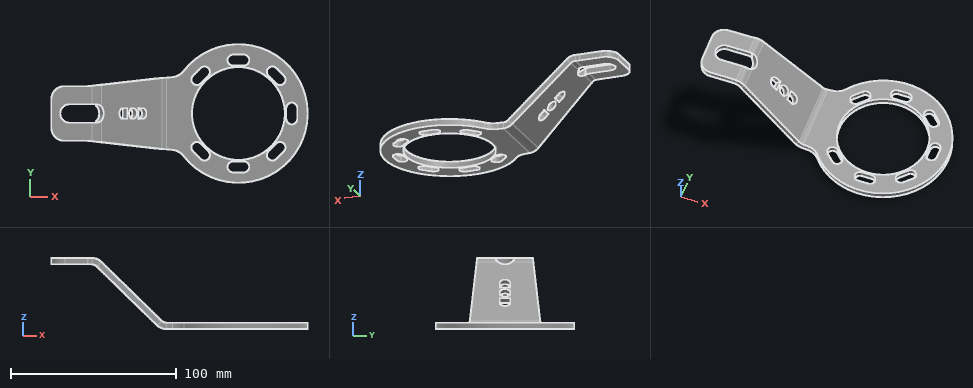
import cadquery as cq
import math

total_length = 155.1
total_height = 43.1
thickness = 4.0
ring_radius = 84.0 / 2
bore_diameter = 56.0

bend_angle = 44.3
inner_bend_radius = 4.0
mid_radius = inner_bend_radius + thickness / 2
lower_bend_x = -43.6

tab_half_width = 16.6
neck_half_width = 21.7
tab_corner_radius = 8.0
taper_lead = 2.6
taper_blend_radius = 5.0
neck_fillet_radius = 10.0

ring_slot_radius = 32.3
ring_slot_length = 13.0
ring_slot_width = 6.5
small_hole_diameter = 6.5
small_hole_pitch = 8.0
small_hole_offset = 1.4
tab_slot_width = 11.0
tab_slot_margin = 5.6
tab_slot_overrun = 2.2
tab_slot_straight_overrun = 2.3
cutter_height = 4 * thickness

sin_bend = math.sin(math.radians(bend_angle))
cos_bend = math.cos(math.radians(bend_angle))
tab_end_x = ring_radius - total_length
lower_mid_z = thickness / 2
upper_mid_z = total_height - thickness / 2
bend_run = mid_radius * sin_bend
bend_rise = mid_radius * (1 - cos_bend)
plate_rise = upper_mid_z - lower_mid_z - 2 * bend_rise
plate_length = plate_rise / sin_bend
plate_run = plate_length * cos_bend
plate_low_x = lower_bend_x - bend_run
plate_high_x = plate_low_x - plate_run
upper_bend_x = plate_high_x - bend_run

bend_arc_length = mid_radius * math.radians(bend_angle)
taper = (neck_half_width - tab_half_width) / (taper_lead + plate_length + 2 * bend_arc_length)
upper_bend_half_width = tab_half_width + taper * taper_lead
plate_high_half_width = upper_bend_half_width + taper * bend_arc_length
plate_low_half_width = neck_half_width - taper * bend_arc_length

plate_plane = cq.Plane(
    origin=((plate_low_x + plate_high_x) / 2, 0, (lower_mid_z + upper_mid_z) / 2),
    xDir=(cos_bend, 0, -sin_bend),
    normal=(sin_bend, 0, cos_bend),
)


def make_ring():
    """Lower ring with the tapered neck blended into its rim."""
    neck_end_half_width = neck_half_width - taper * lower_bend_x
    disc = cq.Workplane("XY").circle(ring_radius).extrude(thickness)
    neck = (
        cq.Workplane("XY")
        .polyline([
            (lower_bend_x, -neck_half_width),
            (0, -neck_end_half_width),
            (0, neck_end_half_width),
            (lower_bend_x, neck_half_width),
        ])
        .close()
        .extrude(thickness)
    )
    junctions = cq.selectors.BoxSelector(
        (lower_bend_x + thickness, -ring_radius, 0), (-bore_diameter / 2, ring_radius, thickness)
    )
    ring = disc.union(neck).edges("|Z").edges(junctions).fillet(neck_fillet_radius)
    bore = cq.Workplane("XY").circle(bore_diameter / 2).extrude(thickness)
    return ring.cut(bore)


def make_tab():
    """Raised tab with rounded free corners and a soft start to the taper."""
    taper_start_x = upper_bend_x - taper_lead
    blend_length = taper_blend_radius * math.tan(math.atan(taper) / 2)
    blend_start = (taper_start_x - blend_length, tab_half_width)
    blend_end = (
        taper_start_x + blend_length * math.cos(math.atan(taper)),
        tab_half_width + blend_length * math.sin(math.atan(taper)),
    )
    half_tab = (
        cq.Workplane("XY", origin=(0, 0, upper_mid_z - thickness / 2))
        .moveTo(tab_end_x, 0)
        .lineTo(tab_end_x, tab_half_width)
        .lineTo(*blend_start)
        .tangentArcPoint(blend_end, relative=False)
        .lineTo(upper_bend_x, upper_bend_half_width)
        .lineTo(upper_bend_x, 0)
        .close()
        .extrude(thickness)
        .edges("|Z and <X")
        .edges(">Y")
        .fillet(tab_corner_radius)
    )
    return half_tab.union(half_tab.mirror("XZ"))


def make_plate():
    """Sloping trapezoid with its side faces square to the sheet."""
    half_length = plate_length / 2
    return (
        cq.Workplane(plate_plane)
        .polyline([
            (-half_length, -plate_high_half_width),
            (half_length, -plate_low_half_width),
            (half_length, plate_low_half_width),
            (-half_length, plate_high_half_width),
        ])
        .close()
        .extrude(thickness / 2, both=True)
    )


def make_bend(start, start_direction, end, end_direction, start_half_width, end_half_width):
    """Curved, tapering strip joining two flat stretches."""
    path = cq.Edge.makeTangentArc(cq.Vector(*start), cq.Vector(*start_direction), cq.Vector(*end))
    start_plane = cq.Plane(origin=start, xDir=(0, 1, 0), normal=start_direction)
    end_plane = cq.Plane(origin=end, xDir=(0, 1, 0), normal=end_direction)
    start_wire = cq.Workplane(start_plane).rect(2 * start_half_width, thickness).wires().val()
    end_wire = cq.Workplane(end_plane).rect(2 * end_half_width, thickness).wires().val()
    return cq.Workplane(cq.Solid.sweep_multi([start_wire, end_wire], path))


def ring_slots():
    """Straight tangential slots every 45 degrees, leaving out the neck side."""
    cutters = cq.Workplane("XY")
    for angle in range(-135, 136, 45):
        slot = (
            cq.Workplane("XY")
            .center(ring_slot_radius, 0)
            .slot2D(ring_slot_length, ring_slot_width, 90)
            .extrude(thickness)
            .rotate((0, 0, 0), (0, 0, 1), angle)
        )
        cutters = cutters.union(slot)
    return cutters


def plate_holes():
    """A round hole between two D-shaped holes with their flats facing it."""
    radius = small_hole_diameter / 2
    base = cq.Workplane(plate_plane).center(small_hole_offset, 0)
    cutters = base.circle(radius).extrude(thickness, both=True)
    for side in (-1, 1):
        centre = side * small_hole_pitch
        flat = centre - side * radius
        d_hole = (
            base.moveTo(flat, -radius)
            .lineTo(centre, -radius)
            .threePointArc((centre + side * radius, 0), (centre, radius))
            .lineTo(flat, radius)
            .close()
            .extrude(thickness, both=True)
        )
        cutters = cutters.union(d_hole)
    return cutters


def tab_slot():
    """Slot square to the tab whose far end turns over the bend, square to the plate."""
    radius = tab_slot_width / 2
    start_x = tab_end_x + tab_slot_margin
    end_x = upper_bend_x + tab_slot_straight_overrun
    straight = (
        cq.Workplane("XY", origin=(0, 0, upper_mid_z))
        .moveTo(end_x, -radius)
        .lineTo(start_x + radius, -radius)
        .threePointArc((start_x, 0), (start_x + radius, radius))
        .lineTo(end_x, radius)
        .close()
        .extrude(cutter_height / 2, both=True)
    )
    far_end = (
        cq.Workplane(plate_plane)
        .center(tab_slot_overrun - radius - plate_length / 2, 0)
        .circle(radius)
        .extrude(cutter_height / 2, both=True)
    )
    return straight.union(far_end)


level = (1, 0, 0)
downhill = (cos_bend, 0, -sin_bend)
upper_bend = make_bend(
    (upper_bend_x, 0, upper_mid_z),
    level,
    (plate_high_x, 0, upper_mid_z - bend_rise),
    downhill,
    upper_bend_half_width,
    plate_high_half_width,
)
lower_bend = make_bend(
    (plate_low_x, 0, lower_mid_z + bend_rise),
    downhill,
    (lower_bend_x, 0, lower_mid_z),
    level,
    plate_low_half_width,
    neck_half_width,
)

blank = make_ring().union(lower_bend).union(make_plate()).union(upper_bend).union(make_tab())
result = blank.cut(ring_slots()).cut(plate_holes()).cut(tab_slot())